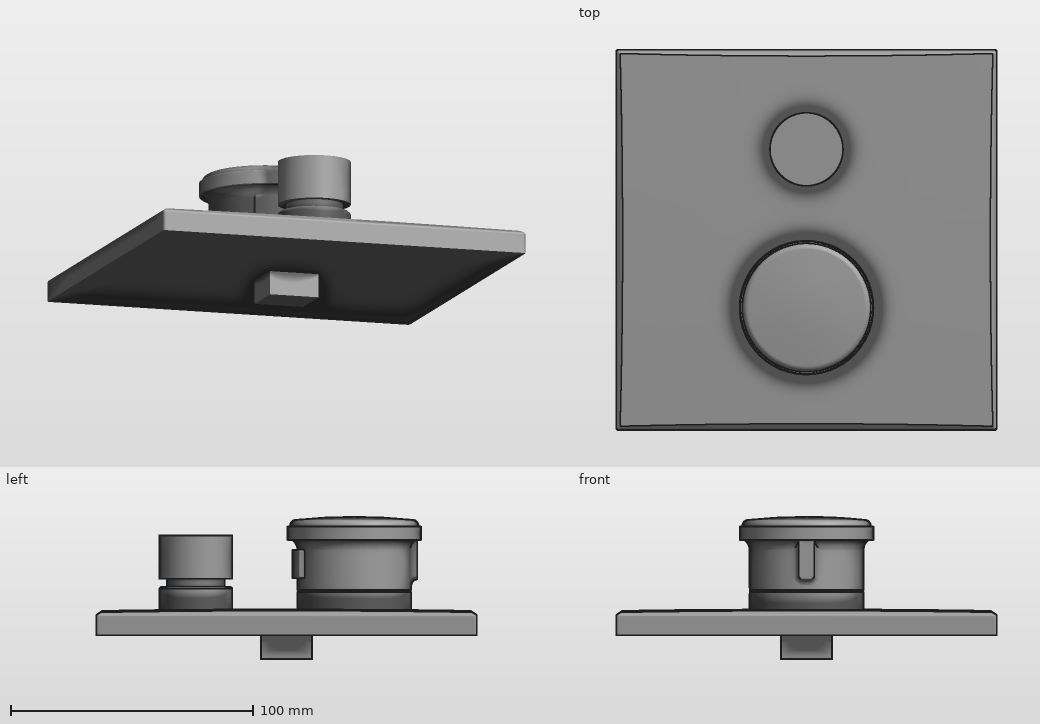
import cadquery as cq
import math

plate_side = 157.0
plate_height = 10.8
plate_dome_rise = 0.6
plate_edge_radius = 1.1
bevel_height = 1.7
bevel_width = 2.7

stem_side = 21.0
stem_length = 9.7

button_y = 37.4
button_radius = 15.0
button_base_top_z = 20.1
button_base_bevel = 0.8
button_neck_radius = 12.0
button_head_bottom_z = 23.4
button_top_z = 41.3

knob_y = -28.0
barrel_radius = 23.5
barrel_groove_z = 18.4
barrel_groove_width = 1.0
barrel_groove_depth = 0.6
flare_radius = 25.5
flare_bottom_z = 35.5
rim_radius = 27.6
rim_bottom_z = 39.2
rim_top_z = 45.0
rim_ledge = 1.1
rim_bevel = 0.3
cap_radius = 23.9
cap_edge_z = 47.7
cap_crown_z = 49.0

rib_tip_reach = 26.0
rib_width = 6.6
rib_bottom_z = 23.1
rib_foot_radius = 1.9
rib_tip_edge_radius = 0.5
rib_blend_radius = 2.4

catch_radius = 25.6
catch_width = 23.5
catch_bottom_z = 23.5
catch_top_z = 35.3
catch_corner_radius = 1.0
catch_edge_radius = 0.5


def cylinder(radius, bottom_z, top_z):
    """Upright cylinder centred on the Z axis."""
    return cq.Workplane("XY").workplane(offset=bottom_z).circle(radius).extrude(top_z - bottom_z)


def make_plate():
    """Square plate with rounded corners, a bevelled upper border and a domed top."""
    edge_z = plate_height - plate_dome_rise
    bevel_foot_z = edge_z - bevel_height
    blank_height = plate_height + plate_dome_rise
    blank_bevel_height = blank_height - bevel_foot_z
    plate = (
        cq.Workplane("XY")
        .rect(plate_side, plate_side)
        .extrude(blank_height)
        .faces(">Z")
        .chamfer(blank_bevel_height, bevel_width * blank_bevel_height / bevel_height)
    )
    rounded_edges = cq.selectors.BoxSelector(
        (-plate_side, -plate_side, 0.2),
        (plate_side, plate_side, plate_height - 0.2),
    )
    plate = plate.edges(rounded_edges).fillet(plate_edge_radius)
    half_top = plate_side / 2 - bevel_width
    dome_radius = (half_top**2 + plate_dome_rise**2) / (2 * plate_dome_rise)
    dome = cq.Workplane("XY").sphere(dome_radius).translate((0, 0, plate_height - dome_radius))
    return plate.intersect(dome)


def make_stem():
    """Square stem reaching down from the underside of the plate."""
    return cq.Workplane("XY").rect(stem_side, stem_side).extrude(-stem_length)


def make_button():
    """Push button: a base ring, a narrower neck and a plain cylindrical head."""
    base = cylinder(button_radius, 0, button_base_top_z).faces(">Z").chamfer(button_base_bevel)
    neck = cylinder(button_neck_radius, button_base_top_z, button_head_bottom_z)
    head = cylinder(button_radius, button_head_bottom_z, button_top_z)
    return base.union(neck).union(head).translate((0, button_y, 0))


def make_knob_body():
    """Turned barrel, flared underside, rim and domed cap."""
    groove_floor = barrel_radius - barrel_groove_depth
    groove_bottom = barrel_groove_z - barrel_groove_width / 2
    groove_top = barrel_groove_z + barrel_groove_width / 2
    bend = 1 - math.sqrt(0.5)
    shoulder_radius = rim_radius - rim_ledge
    shoulder_mid = (
        shoulder_radius - (shoulder_radius - cap_radius) * bend,
        cap_edge_z - (cap_edge_z - rim_top_z) * bend,
    )
    cap_curvature = (cap_radius**2 + (cap_crown_z - cap_edge_z) ** 2) / (2 * (cap_crown_z - cap_edge_z))
    return (
        cq.Workplane("XZ")
        .moveTo(0, 0)
        .lineTo(barrel_radius, 0)
        .lineTo(barrel_radius, groove_bottom)
        .lineTo(groove_floor, barrel_groove_z)
        .lineTo(barrel_radius, groove_top)
        .lineTo(barrel_radius, flare_bottom_z)
        .tangentArcPoint((flare_radius, rim_bottom_z), relative=False)
        .lineTo(rim_radius - rim_bevel, rim_bottom_z)
        .lineTo(rim_radius, rim_bottom_z + rim_bevel)
        .lineTo(rim_radius, rim_top_z - rim_bevel)
        .lineTo(rim_radius - rim_bevel, rim_top_z)
        .lineTo(shoulder_radius, rim_top_z)
        .threePointArc(shoulder_mid, (cap_radius, cap_edge_z))
        .radiusArc((0, cap_crown_z), -cap_curvature)
        .close()
        .revolve(360, (0, 0, 0), (0, 1, 0))
    )


def make_rib():
    """Upright finger rib, blended into the barrel along its sides and around its foot."""
    barrel = cylinder(barrel_radius, barrel_groove_z + barrel_groove_width, rim_top_z)
    rib = (
        cq.Workplane("XY")
        .workplane(offset=rib_bottom_z)
        .center(0, -rib_tip_reach / 2)
        .rect(rib_width, rib_tip_reach)
        .extrude(rim_top_z - rib_bottom_z)
        .edges("|Y and <Z")
        .fillet(rib_foot_radius)
        .faces("<Y")
        .edges()
        .fillet(rib_tip_edge_radius)
    )
    blend_zone = cq.selectors.BoxSelector(
        (-rib_width, -barrel_radius - 0.2, rib_bottom_z - 0.2),
        (rib_width, 0, rim_top_z - 0.2),
    )
    return barrel.union(rib).edges(blend_zone).fillet(rib_blend_radius)


def make_catch():
    """Curved block standing slightly proud of the barrel, with rounded ends."""
    block = (
        cq.Workplane("XY")
        .workplane(offset=catch_bottom_z)
        .center(0, catch_radius / 2)
        .rect(catch_width, catch_radius)
        .extrude(catch_top_z - catch_bottom_z)
        .edges("|Y")
        .fillet(catch_corner_radius)
    )
    catch = block.intersect(cylinder(catch_radius, catch_bottom_z, catch_top_z))
    return catch.faces(">Y").edges().fillet(catch_edge_radius)


def make_knob():
    """Complete thermostat knob at its place on the plate."""
    knob = make_knob_body().union(make_rib()).union(make_catch())
    return knob.translate((0, knob_y, 0))


result = make_plate().union(make_stem()).union(make_button()).union(make_knob())